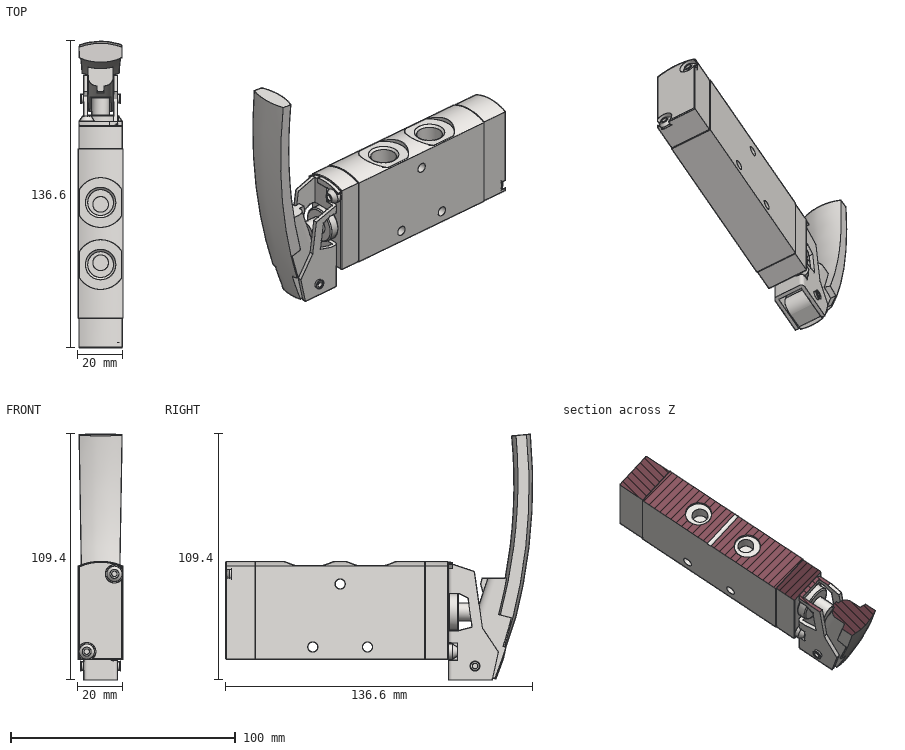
import cadquery as cq
import math


BODY_WIDTH = 20.0
CAP_WIDTH = 19.4
SIDE_HEIGHT = 41.4
CROWN_RISE = 2.2
BODY_EDGE_CHAMFER = 0.3
CAP_EDGE_CHAMFER = 0.4
REAR_CAP_LENGTH = 13.1
BODY_LENGTH = 75.6
FRONT_CAP_LENGTH = 10.2
BODY_END = REAR_CAP_LENGTH + BODY_LENGTH
CAP_FACE = BODY_END + FRONT_CAP_LENGTH
BODY_MIDDLE = REAR_CAP_LENGTH + BODY_LENGTH / 2

PORT_OFFSET = 13.8
PORT_DIAMETER = 11.5
PORT_MOUTH_DIAMETER = 13.5
PORT_DEPTH = 10.9
PORT_CHAMFER = (PORT_MOUTH_DIAMETER - PORT_DIAMETER) / 2
INLET_OFFSET = 13.0
INLET_DIAMETER = 7.0
INLET_DEPTH = 5.5
SPOT_FACE_DIAMETER = 22.1
SPOT_FACE_LEVEL = 41.6
MOUNT_DIAMETER = 4.4
MOUNT_UPPER_LEVEL = 33.5
MOUNT_LOWER_LEVEL = 5.5
MOUNT_LOWER_OFFSET = 12.2

SCREW_OFFSET = 6.1
SCREW_LOWER_LEVEL = 3.4
SCREW_UPPER_LEVEL = 38.0
SCREW_HEAD_DIAMETER = 6.8
SCREW_CROWN_DIAMETER = 4.0
SCREW_SOCKET_DIAMETER = 2.5
SCREW_SOCKET_DEPTH = 1.4
SCREW_RIM_HEIGHT = 1.9
SCREW_DOME_HEIGHT = 2.2
SCREW_POCKET_DIAMETER = 8.0
SCREW_POCKET_DEPTH = 2.6
REAR_RIM_HEIGHT = 0.8
REAR_DOME_HEIGHT = 1.4

PLUNGER_LEVEL = 21.0
PLUNGER_DIAMETER = 8.0
PLUNGER_LENGTH = 12.3
COLLAR_DIAMETER = 16.1
COLLAR_LENGTH = 4.6
COLLAR_CHAMFER = 0.5
PLUNGER_END = CAP_FACE + PLUNGER_LENGTH

SHEET = 1.8
BRACKET_WIDTH = 15.2
BRACKET_GAP = BRACKET_WIDTH - 2 * SHEET
BEND_RADIUS = 1.8
BRACKET_BOTTOM = -9.3
BRACKET_SHORT_TOP = 33.0
BRACKET_TALL_TOP = 42.3
WEB_TOP = 40.3
WEB_STEP = -2.0
BRACKET_CORNER_RADIUS = 1.1
BEND_LINE = CAP_FACE + SHEET

BROW_DROP = 0.4

PIVOT_Y = 110.9
PIVOT_Z = -3.0
PIN_DIAMETER = 4.0
PIN_RIM_DIAMETER = 4.4
PIN_RIM = 0.4
PIN_LENGTH = 17.8
PIN_BORE_DIAMETER = 2.5
PIN_BORE_DEPTH = 2.0

LEVER_AXIS_Y = -101.0
LEVER_AXIS_Z = 77.8
LEVER_RADIUS = 237.6
LEVER_THICKNESS = 8.5
LEVER_OUTER_SAG = 1.8
LEVER_INNER_SAG = 2.0
LEVER_TIP_ANGLE = 5.38
LEVER_FOOT_ANGLE = -21.4
STEP_ANGLE = -14.6
SHOULDER_ANGLE = -17.8
SHELL_RADIUS = 235.7
LEVER_TOP_WIDTH = 19.3
LEVER_LOW_WIDTH = 15.5
LEVER_TOP = 101.0
BOSS_WIDTH = 11.2
BOSS_TOP = 36.0
BOSS_NOSE_Y = 116.6
BOSS_ROUNDING = 3.8
RIB_WIDTH = 3.0
HUB_RADIUS = 5.7
STOP_Y = PLUNGER_END + 0.3


def along_y(points, width):
    """Side outline given as (y, z) points, extruded to the full width about X = 0."""
    return cq.Workplane("YZ").polyline(points).close().extrude(width / 2, both=True)


def cylinder_y(x, z, start, length, diameter):
    """Cylinder along +Y from the given start."""
    plane = cq.Plane(origin=(x, start, z), xDir=(1, 0, 0), normal=(0, 1, 0))
    return cq.Workplane(plane).circle(diameter / 2).extrude(length)


def box(x_range, y_range, z_range):
    """Box between two limits on each axis."""
    sizes = [high - low for low, high in (x_range, y_range, z_range)]
    block = cq.Workplane("XY").box(*sizes, centered=False)
    return block.translate((x_range[0], y_range[0], z_range[0]))


def crowned_block(width, start, length, top=SIDE_HEIGHT):
    """Block with a flat underside and a crowned top."""
    half = width / 2
    plane = cq.Plane(origin=(0, start, 0), xDir=(-1, 0, 0), normal=(0, 1, 0))
    return (
        cq.Workplane(plane)
        .moveTo(-half, 0)
        .lineTo(half, 0)
        .lineTo(half, top)
        .threePointArc((0, top + CROWN_RISE), (-half, top))
        .close()
        .extrude(length)
    )


def screw_head(x, z, seat, outward, rim, dome):
    """Domed screw head with a round socket; outward is +1 or -1 along Y."""
    profile = [
        (0, 0),
        (SCREW_HEAD_DIAMETER / 2, 0),
        (SCREW_HEAD_DIAMETER / 2, rim),
        (SCREW_CROWN_DIAMETER / 2, rim + dome),
        (SCREW_SOCKET_DIAMETER / 2, rim + dome),
        (SCREW_SOCKET_DIAMETER / 2, rim + dome - SCREW_SOCKET_DEPTH),
        (0, rim + dome - SCREW_SOCKET_DEPTH),
    ]
    points = [(radius, outward * height) for radius, height in profile]
    head = cq.Workplane("XY").polyline(points).close().revolve(360, (0, 0, 0), (0, 1, 0))
    return head.translate((x, seat, z))


def make_body():
    """Valve block with two ports in spot faces and three mounting holes."""
    body = crowned_block(BODY_WIDTH, REAR_CAP_LENGTH, BODY_LENGTH)
    body = body.faces("<Y or >Y").chamfer(BODY_EDGE_CHAMFER)
    for side in (-1, 1):
        port_y = BODY_MIDDLE + side * PORT_OFFSET
        inlet_y = BODY_MIDDLE + side * INLET_OFFSET
        face = cq.Workplane("XY", origin=(0, port_y, SPOT_FACE_LEVEL))
        body = body.cut(face.circle(SPOT_FACE_DIAMETER / 2).extrude(CROWN_RISE * 2))
        body = body.cut(face.circle(PORT_DIAMETER / 2).extrude(-PORT_DEPTH))
        mouth = face.circle(PORT_MOUTH_DIAMETER / 2).extrude(-PORT_CHAMFER, taper=45)
        body = body.cut(mouth)
        floor = cq.Workplane("XY", origin=(0, inlet_y, SPOT_FACE_LEVEL - PORT_DEPTH))
        body = body.cut(floor.circle(INLET_DIAMETER / 2).extrude(-INLET_DEPTH))
    mounts = [
        (BODY_MIDDLE, MOUNT_UPPER_LEVEL),
        (BODY_MIDDLE - MOUNT_LOWER_OFFSET, MOUNT_LOWER_LEVEL),
        (BODY_MIDDLE + MOUNT_LOWER_OFFSET, MOUNT_LOWER_LEVEL),
    ]
    holes = cq.Workplane("YZ").pushPoints(mounts).circle(MOUNT_DIAMETER / 2)
    return body.cut(holes.extrude(BODY_WIDTH, both=True))


def make_rear_cap():
    """Plain end cap with its two screws sunk in pockets."""
    cap = crowned_block(CAP_WIDTH, 0, REAR_CAP_LENGTH).faces("<Y").chamfer(CAP_EDGE_CHAMFER)
    for x, z in ((SCREW_OFFSET, SCREW_UPPER_LEVEL), (-SCREW_OFFSET, SCREW_LOWER_LEVEL)):
        cap = cap.cut(cylinder_y(x, z, 0, SCREW_POCKET_DEPTH, SCREW_POCKET_DIAMETER))
        cap = cap.union(screw_head(x, z, SCREW_POCKET_DEPTH, -1, REAR_RIM_HEIGHT, REAR_DOME_HEIGHT))
    return cap


FRONT_SCREWS = [(-SCREW_OFFSET, SCREW_UPPER_LEVEL), (SCREW_OFFSET, SCREW_LOWER_LEVEL)]


def make_front_cap():
    """Lever-end cap with its brow, two screws, collar and plunger."""
    cap = crowned_block(CAP_WIDTH, BODY_END, FRONT_CAP_LENGTH).faces(">Y").chamfer(CAP_EDGE_CHAMFER)
    brow = crowned_block(CAP_WIDTH, CAP_FACE, SHEET, SIDE_HEIGHT - BROW_DROP)
    brow = brow.cut(box((-CAP_WIDTH, CAP_WIDTH), (CAP_FACE, BEND_LINE), (0, WEB_TOP)))
    plate_slot = box(
        (BRACKET_GAP / 2 - BEND_RADIUS, BRACKET_WIDTH / 2),
        (CAP_FACE, BEND_LINE),
        (0, SIDE_HEIGHT + CROWN_RISE),
    )
    cap = cap.union(brow.cut(plate_slot))
    for x, z in FRONT_SCREWS:
        cap = cap.union(screw_head(x, z, CAP_FACE, 1, SCREW_RIM_HEIGHT, SCREW_DOME_HEIGHT))
    collar = cylinder_y(0, PLUNGER_LEVEL, CAP_FACE, COLLAR_LENGTH, COLLAR_DIAMETER)
    cap = cap.union(collar.faces("<Y or >Y").chamfer(COLLAR_CHAMFER))
    return cap.union(cylinder_y(0, PLUNGER_LEVEL, CAP_FACE, PLUNGER_LENGTH, PLUNGER_DIAMETER))


def make_bracket():
    """U-shaped sheet: web against the front cap, one short and one tall side plate."""
    outline = [
        (CAP_FACE, BRACKET_BOTTOM),
        (118.5, BRACKET_BOTTOM),
        (121.2, 3.3),
        (114.1, 13.9),
        (112.0, 29.6),
        (110.6, 39.0),
        (BEND_LINE, BRACKET_TALL_TOP),
        (CAP_FACE, BRACKET_TALL_TOP),
    ]
    channel = along_y(outline, BRACKET_WIDTH)
    channel = channel.edges("|X").edges(cq.selectors.NearestToPointSelector((0, 110.6, 39.0)))
    channel = channel.fillet(BRACKET_CORNER_RADIUS)
    channel = channel.faces("<Y").edges("|Z").fillet(BEND_RADIUS)
    half_gap = BRACKET_GAP / 2
    top = BRACKET_TALL_TOP + 1.4
    beyond = BEND_LINE + 27.3
    channel = channel.cut(box((-half_gap, half_gap), (BEND_LINE, beyond), (BRACKET_BOTTOM, top)))
    channel = channel.cut(box((-half_gap, half_gap - BEND_RADIUS), (CAP_FACE, BEND_LINE), (WEB_TOP, top)))
    short_side = [
        (CAP_FACE, BRACKET_SHORT_TOP),
        (BEND_LINE, BRACKET_SHORT_TOP),
        (112.0, 29.6),
        (beyond, 29.6),
        (beyond, top),
        (CAP_FACE, top),
    ]
    relief = along_y(short_side, BRACKET_WIDTH)
    left = box((-BRACKET_WIDTH, WEB_STEP), (CAP_FACE, beyond), (0, top))
    channel = channel.cut(relief.intersect(left))
    window = [
        (CAP_FACE, 12.7),
        (103.2, 12.7),
        (109.5, 14.3),
        (107.7, 27.2),
        (103.6, 29.2),
        (CAP_FACE, 29.2),
    ]
    channel = channel.cut(along_y(window, BRACKET_WIDTH))
    for x, z in FRONT_SCREWS:
        reach = SCREW_RIM_HEIGHT + SCREW_DOME_HEIGHT
        channel = channel.cut(cylinder_y(x, z, CAP_FACE, reach, SCREW_POCKET_DIAMETER))
    return channel.cut(pivot_hole())


def pivot_hole():
    """Cylinder that the pivot pin fills, across the full bracket width."""
    hole = cq.Workplane("YZ").center(PIVOT_Y, PIVOT_Z).circle(PIN_DIAMETER / 2)
    return hole.extrude(BRACKET_WIDTH / 2, both=True)


def make_pin():
    """Pivot pin with a bored, slightly flared end on each side."""
    half = PIN_LENGTH / 2
    profile = [
        (0, 0),
        (PIN_DIAMETER / 2, 0),
        (PIN_DIAMETER / 2, half - PIN_RIM),
        (PIN_RIM_DIAMETER / 2, half),
        (PIN_BORE_DIAMETER / 2, half),
        (PIN_BORE_DIAMETER / 2, half - PIN_BORE_DEPTH),
        (0, half - PIN_BORE_DEPTH),
    ]
    points = [(length, radius) for radius, length in profile]
    end = cq.Workplane("XY").polyline(points).close().revolve(360, (0, 0, 0), (1, 0, 0))
    pin = end.union(end.mirror("YZ"))
    return pin.translate((0, PIVOT_Y, PIVOT_Z))


def on_lever(radius, angle):
    """(y, z) of a point at a radius and an angle in degrees about the lever's bend axis."""
    turn = math.radians(angle)
    return LEVER_AXIS_Y + radius * math.cos(turn), LEVER_AXIS_Z + radius * math.sin(turn)


def lever_sector(inner, outer, start, end):
    """Full-width ring sector about the bend axis."""
    middle = (start + end) / 2
    sector = (
        cq.Workplane("YZ")
        .moveTo(*on_lever(inner, start))
        .lineTo(*on_lever(outer, start))
        .threePointArc(on_lever(outer, middle), on_lever(outer, end))
        .lineTo(*on_lever(inner, end))
        .threePointArc(on_lever(inner, middle), on_lever(inner, start))
        .close()
    )
    return sector.extrude(LEVER_TOP_WIDTH / 2, both=True)


def make_handle():
    """Bent lens-section bar, tapered in width and stepped at its foot."""
    half = LEVER_TOP_WIDTH / 2
    inner = LEVER_RADIUS - LEVER_THICKNESS
    section = (
        cq.Workplane("XY")
        .moveTo(-half, LEVER_RADIUS - LEVER_OUTER_SAG)
        .threePointArc((0, LEVER_RADIUS), (half, LEVER_RADIUS - LEVER_OUTER_SAG))
        .lineTo(half, inner + LEVER_INNER_SAG)
        .threePointArc((0, inner), (-half, inner + LEVER_INNER_SAG))
        .close()
    )
    bar = section.revolve(LEVER_TIP_ANGLE - LEVER_FOOT_ANGLE, (0, 0, 0), (1, 0, 0))
    bar = bar.rotate((0, 0, 0), (1, 0, 0), LEVER_FOOT_ANGLE)
    bar = bar.translate((0, LEVER_AXIS_Y, LEVER_AXIS_Z))

    low = LEVER_LOW_WIDTH / 2
    taper = [
        (-low, BRACKET_BOTTOM),
        (low, BRACKET_BOTTOM),
        (half, LEVER_TOP),
        (-half, LEVER_TOP),
    ]
    bar = bar.intersect(cq.Workplane("XZ").polyline(taper).close().extrude(-2 * LEVER_RADIUS))

    below = LEVER_FOOT_ANGLE - 1
    bar = bar.cut(lever_sector(inner - 1.4, SHELL_RADIUS, below, STEP_ANGLE))
    narrowing = lever_sector(inner, LEVER_RADIUS + 1.4, below, SHOULDER_ANGLE)
    core = narrowing.intersect(along_boss_width())
    return bar.cut(narrowing.cut(core))


def along_boss_width():
    """Slab as wide as the boss and larger than the lever in Y and Z."""
    limit = 2 * LEVER_RADIUS
    return box((-BOSS_WIDTH / 2, BOSS_WIDTH / 2), (-limit, limit), (-limit, limit))


def make_lever():
    """Handle with its rounded boss, pushing rib and pivot hub."""
    back_radius = SHELL_RADIUS
    back_top = on_lever(back_radius, -math.degrees(math.asin((LEVER_AXIS_Z - BOSS_TOP) / back_radius)))
    back_foot = on_lever(back_radius, LEVER_FOOT_ANGLE)
    back_middle = on_lever(back_radius, STEP_ANGLE)
    boss = (
        cq.Workplane("YZ")
        .moveTo(*back_top)
        .lineTo(BOSS_NOSE_Y, BOSS_TOP)
        .lineTo(STOP_Y, PLUNGER_LEVEL)
        .lineTo(STOP_Y, PLUNGER_LEVEL - PLUNGER_DIAMETER / 2)
        .lineTo(PIVOT_Y - HUB_RADIUS, PIVOT_Z)
        .threePointArc(
            (PIVOT_Y - HUB_RADIUS * math.sqrt(0.5), PIVOT_Z - HUB_RADIUS * math.sqrt(0.5)),
            (PIVOT_Y, PIVOT_Z - HUB_RADIUS),
        )
        .lineTo(*back_foot)
        .threePointArc(back_middle, back_top)
        .close()
        .extrude(BOSS_WIDTH / 2, both=True)
    )
    nose_y = (BOSS_NOSE_Y + STOP_Y) / 2
    nose_z = (BOSS_TOP + PLUNGER_LEVEL) / 2
    nose = boss.faces(cq.selectors.NearestToPointSelector((0, nose_y, nose_z)))
    boss = nose.edges("not |X").fillet(BOSS_ROUNDING)
    rib = along_y(
        [
            (BOSS_NOSE_Y + 1.4, BOSS_TOP),
            (114.0, BOSS_TOP),
            (113.3, 33.5),
            (114.4, 29.5),
            (STOP_Y, PLUNGER_LEVEL),
            (STOP_Y + 1.4, PLUNGER_LEVEL),
        ],
        RIB_WIDTH,
    )
    return make_handle().union(boss).union(rib).cut(pivot_hole())


body = make_body()
rear_cap = make_rear_cap()
front_cap = make_front_cap()
bracket = make_bracket()
pin = make_pin()
lever = make_lever()

result = cq.Compound.makeCompound(
    [body.val(), rear_cap.val(), front_cap.val(), bracket.val(), pin.val(), lever.val()]
)